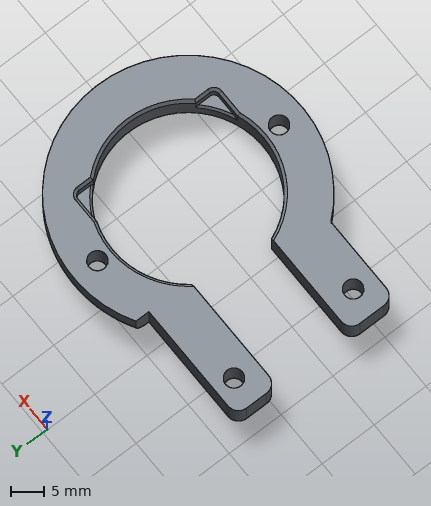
import cadquery as cq
import math

thickness = 4.8
outer_radius = 22.0
bore_radius = 14.5
edge_chamfer = 0.5
rim_fillet = 2.0

overall_length = 54.5
arm_end_x = outer_radius - overall_length
arm_corner_radius = 2.0
upper_arm_outer_y = 16.45
upper_arm_inner_y = 8.6
lower_arm_inner_y = -5.35
lower_arm_outer_y = -14.0
step_x = -11.2

hole_diameter = 3.2
ring_hole_y = 17.5
arm_hole_x = -27.5
upper_arm_hole_y = 12.95
lower_arm_hole_y = -9.95

pocket_wall_x = 10.6
pocket_wall_y = 13.55
pocket_corner_radius = 1.0
pocket_depth = 2.0
lip_chamfer = 0.4


def box(x_min, x_max, y_min, y_max):
    """Full-thickness block between the given limits."""
    block = cq.Workplane("XY").box(x_max - x_min, y_max - y_min, thickness, centered=False)
    return block.translate((x_min, y_min, 0))


def arm(y_min, y_max):
    """Arm reaching from the ring axis to its rounded free end."""
    return box(arm_end_x, 0, y_min, y_max).edges("|Z and <X").fillet(arm_corner_radius)


def bore_flare(top_z, chamfer):
    """Cone that chamfers the bore edge lying at height top_z."""
    plane = cq.Workplane("XY").workplane(offset=top_z)
    return plane.circle(bore_radius + chamfer).extrude(-chamfer, taper=45)


def pocket_profile(side, margin, z):
    """Rounded-corner outline in the plane at height z, offset outward by margin."""
    corner_x = pocket_wall_x + margin
    corner_y = side * (pocket_wall_y + margin)
    radius = pocket_corner_radius + margin
    diagonal = radius * math.sqrt(0.5)
    arc_middle = (corner_x - radius + diagonal, corner_y - side * (radius - diagonal))
    return (
        cq.Workplane("XY").workplane(offset=z)
        .lineTo(corner_x, 0)
        .lineTo(corner_x, corner_y - side * radius)
        .threePointArc(arc_middle, (corner_x - radius, corner_y))
        .lineTo(0, corner_y)
        .close()
    )


def pocket_cutter(side):
    """Corner pocket with a chamfered rim; side is +1 or -1 along Y."""
    pocket = pocket_profile(side, 0, thickness).extrude(-pocket_depth)
    rim = pocket_profile(side, edge_chamfer, thickness).extrude(-edge_chamfer, taper=45)
    floor_z = thickness - pocket_depth
    lip_limit = pocket_profile(side, 0, floor_z).extrude(-lip_chamfer)
    lip = bore_flare(floor_z, lip_chamfer).intersect(lip_limit)
    return pocket.union(rim).union(lip)


ring = cq.Workplane("XY").circle(outer_radius).extrude(thickness)
ring = ring.faces("<Z").edges().fillet(rim_fillet)
ring = ring.cut(box(-outer_radius, 0, lower_arm_inner_y, upper_arm_inner_y))
ring = ring.cut(box(-outer_radius, step_x, upper_arm_outer_y, outer_radius))

body = ring.union(arm(upper_arm_inner_y, upper_arm_outer_y))
body = body.union(arm(lower_arm_outer_y, lower_arm_inner_y))

bore = cq.Workplane("XY").circle(bore_radius).extrude(thickness)
body = body.cut(bore).cut(bore_flare(thickness, edge_chamfer))

for side in (1, -1):
    body = body.cut(pocket_cutter(side))

hole_centres = [
    (0, ring_hole_y),
    (0, -ring_hole_y),
    (arm_hole_x, upper_arm_hole_y),
    (arm_hole_x, lower_arm_hole_y),
]
holes = cq.Workplane("XY").pushPoints(hole_centres).circle(hole_diameter / 2).extrude(thickness)
result = body.cut(holes)